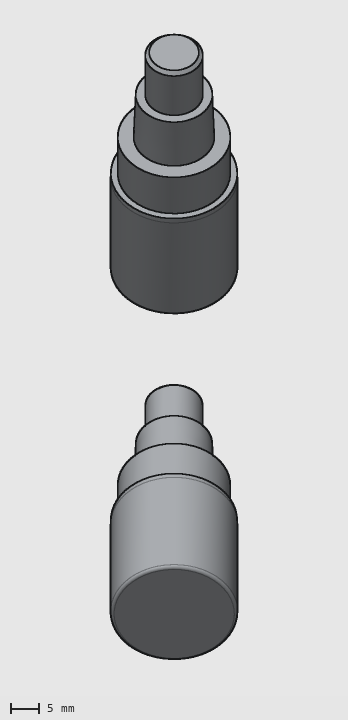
import cadquery as cq

total_height = 54
rim_start = 23.0
sleeve_height = 24.0
collar_top = 33.0
shoulder_top = 43.5

sleeve_radius = 22.0 / 2
collar_radius = 19.5 / 2
shoulder_base_radius = 14.0 / 2
shoulder_top_radius = 13.3 / 2
stem_radius = 10.0 / 2

rim_inset = 0.05
bottom_fillet = 0.6
tip_chamfer = 0.7


def revolve_about_z(profile):
    """Turn a closed (radius, height) outline about the Z axis."""
    return cq.Workplane("XZ").polyline(profile).close().revolve(360, (0, 0), (0, 1))


def make_sleeve():
    """Round base with a rounded bottom edge and a slightly tapered top rim."""
    profile = [
        (0, 0),
        (sleeve_radius, 0),
        (sleeve_radius, rim_start),
        (sleeve_radius - rim_inset, sleeve_height),
        (0, sleeve_height),
    ]
    return revolve_about_z(profile).faces("<Z").edges().fillet(bottom_fillet)


def make_spindle():
    """Collar, tapered shoulder and chamfered stem, seated on the sleeve."""
    profile = [
        (0, sleeve_height),
        (collar_radius, sleeve_height),
        (collar_radius, collar_top),
        (shoulder_base_radius, collar_top),
        (shoulder_top_radius, shoulder_top),
        (stem_radius, shoulder_top),
        (stem_radius, total_height - tip_chamfer),
        (stem_radius - tip_chamfer, total_height),
        (0, total_height),
    ]
    return revolve_about_z(profile)


sleeve = make_sleeve()
spindle = make_spindle()

result = cq.Compound.makeCompound([sleeve.val(), spindle.val()])